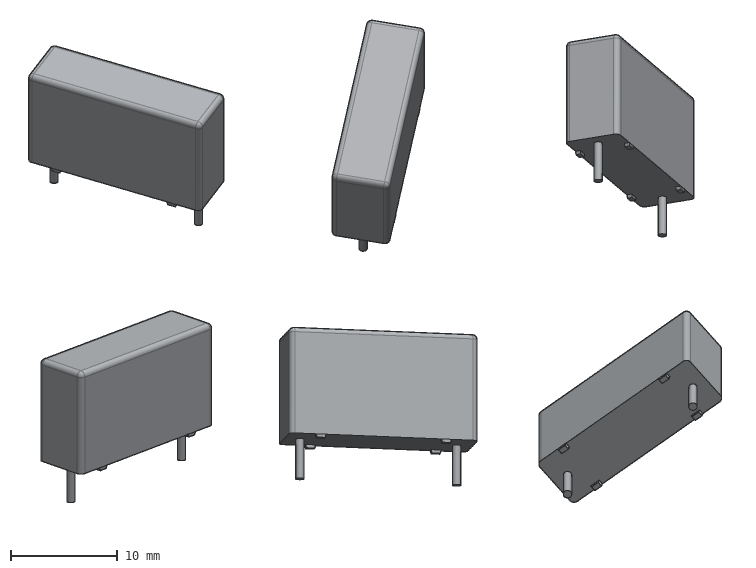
import cadquery as cq

housing_length = 18.0
housing_width = 5.5
housing_height = 10.2
edge_radius = 0.5

pin_diameter = 0.8
pin_length = 3.8
pin_spacing = 15.0

foot_top_length = 1.0
foot_bottom_length = 0.8
foot_height = 0.3
foot_width = edge_radius
foot_spacing = 12.0


def make_housing():
    """Box with rounded upright and top edges and a sharp bottom rim."""
    box = cq.Workplane("XY").box(
        housing_length, housing_width, housing_height, centered=(True, True, False)
    )
    return box.edges("|Z or >Z").fillet(edge_radius)


def make_pin(x):
    """Round lead hanging from the underside of the housing."""
    return cq.Workplane("XY").center(x, 0).circle(pin_diameter / 2).extrude(-pin_length)


def make_foot(x, y):
    """Trapezoidal foot centred at (x, y), its top against the housing."""
    half_top = foot_top_length / 2
    half_bottom = foot_bottom_length / 2
    return (
        cq.Workplane("XZ")
        .moveTo(-half_top, 0)
        .lineTo(half_top, 0)
        .lineTo(half_bottom, -foot_height)
        .lineTo(-half_bottom, -foot_height)
        .close()
        .extrude(foot_width / 2, both=True)
        .translate((x, y, 0))
    )


housing = make_housing()

pins = []
for side in (-1, 1):
    pins.append(make_pin(side * pin_spacing / 2))

foot_y = (housing_width - foot_width) / 2
feet = []
for x_side in (-1, 1):
    for y_side in (-1, 1):
        feet.append(make_foot(x_side * foot_spacing / 2, y_side * foot_y))

result = cq.Compound.makeCompound(
    [
        housing.val(),
        *[pin.val() for pin in pins],
        *[foot.val() for foot in feet],
    ]
)